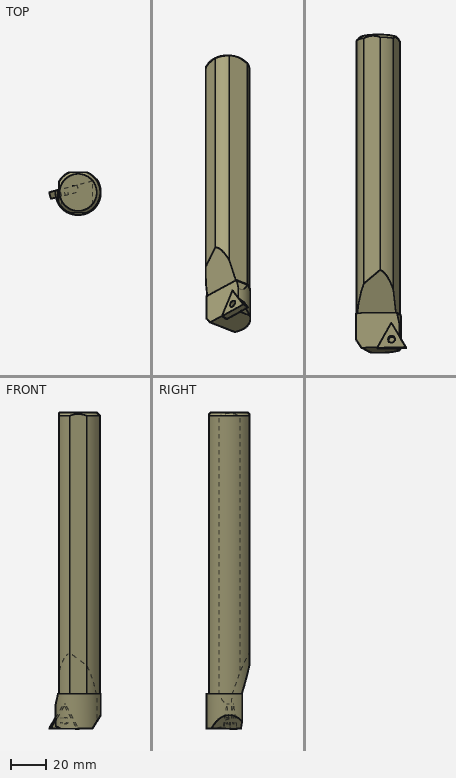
import cadquery as cq
import math

total_height = 180.1
shank_diameter = 25.0
side_flat = 11.0
front_back_flat = 11.5
top_chamfer = 2.0

head_radius = 13.0
head_bottom = 0.2
head_top = 20.2
nose_relief_width = 4.9
nose_relief_height = 7.7
neck_cut_top_offset = 11.5
neck_cut_height = 6.7
heel_relief_width = 3.2
heel_relief_height = 1.6

rake_angle = 15.0
ramp_angle = 19.0

insert_side = 16.4
apex_angle = 60.0
insert_thickness = 4.0
insert_hole_diameter = 4.0
insert_tilt = 0.8
tip_x = -16.5
tip_y = 0.09
tip_z = insert_side * math.sin(math.radians(insert_tilt))

oversize = 72.0

rake_plane = (
    cq.Plane(origin=(tip_x, tip_y, tip_z), normal=(0, -1, 0), xDir=(1, 0, 0))
    .rotated((0, rake_angle, 0))
)


def make_shank():
    height = total_height - head_top
    bar = cq.Workplane("XY", origin=(0, 0, head_top)).circle(shank_diameter / 2).extrude(height)
    bar = bar.faces(">Z").chamfer(top_chamfer)
    envelope = (
        cq.Workplane("XY", origin=(-side_flat, 0, head_top))
        .box(oversize, 2 * front_back_flat, height, centered=(False, True, False))
    )
    return bar.intersect(envelope)


def make_head():
    height = head_top - head_bottom
    head = cq.Workplane("XY", origin=(0, 0, head_bottom)).circle(head_radius).extrude(height)
    nose_relief = [
        (head_radius, head_bottom),
        (head_radius, head_bottom + nose_relief_height),
        (head_radius - nose_relief_width, head_bottom),
    ]
    neck_cut = [
        (-head_radius, head_top),
        (-neck_cut_top_offset, head_top),
        (-head_radius, head_top - neck_cut_height),
    ]
    heel_relief = [
        (-head_radius, head_bottom),
        (-head_radius + heel_relief_width, head_bottom),
        (-head_radius, head_bottom + heel_relief_height),
    ]
    for outline in (nose_relief, neck_cut, heel_relief):
        head = head.cut(cq.Workplane("XZ").polyline(outline).close().extrude(oversize, both=True))
    return head


def make_flute():
    """Space above the rake plane, ending in a ramp that climbs through the shank."""
    reach = oversize / math.tan(math.radians(ramp_angle))
    outline = [
        (0, -oversize),
        (0, head_top),
        (oversize, head_top + reach),
        (oversize, -oversize),
    ]
    section = cq.Workplane("YZ").polyline(outline).close().extrude(oversize, both=True)
    return section.rotate((0, 0, 0), (0, 0, 1), rake_angle).translate((tip_x, tip_y, 0))


def make_insert_blank():
    corners = [
        (0, 0),
        (insert_side, 0),
        (insert_side / 2, insert_side * math.sin(math.radians(apex_angle))),
    ]
    return (
        cq.Workplane(rake_plane)
        .transformed(rotate=(0, 0, -insert_tilt))
        .polyline(corners).close()
        .extrude(insert_thickness)
    )


def make_insert_hole():
    incircle_radius = insert_side / (2 * math.sqrt(3))
    return (
        cq.Workplane(rake_plane)
        .transformed(rotate=(0, 0, -insert_tilt))
        .center(insert_side / 2, incircle_radius)
        .circle(insert_hole_diameter / 2)
        .extrude(insert_thickness)
    )


insert_blank = make_insert_blank()
holder = make_shank().union(make_head()).cut(make_flute()).cut(insert_blank)
insert = insert_blank.cut(make_insert_hole())

result = cq.Compound.makeCompound([holder.val(), insert.val()])